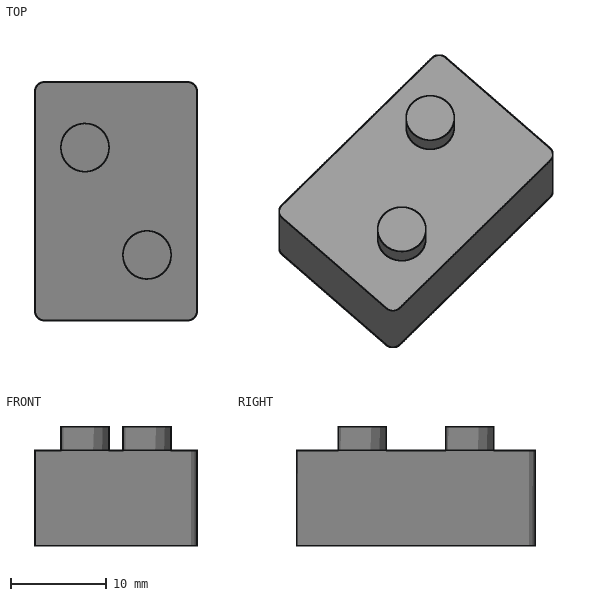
import cadquery as cq

width = 17
length = 25
body_height = 10
corner_radius = 1

pin_diameter = 5.05
pin_height = 2.5
pin_offset_x = 3.25
pin_offset_y = 5.62


def make_body():
    """Block standing on Z = 0 with rounded vertical edges."""
    block = cq.Workplane("XY").box(width, length, body_height, centered=(True, True, False))
    return block.edges("|Z").fillet(corner_radius)


def make_pins():
    """Two round pins rising from the top face."""
    centres = [(-pin_offset_x, pin_offset_y), (pin_offset_x, -pin_offset_y)]
    top_face = cq.Workplane("XY").workplane(offset=body_height)
    return top_face.pushPoints(centres).circle(pin_diameter / 2).extrude(pin_height)


result = make_body().union(make_pins())